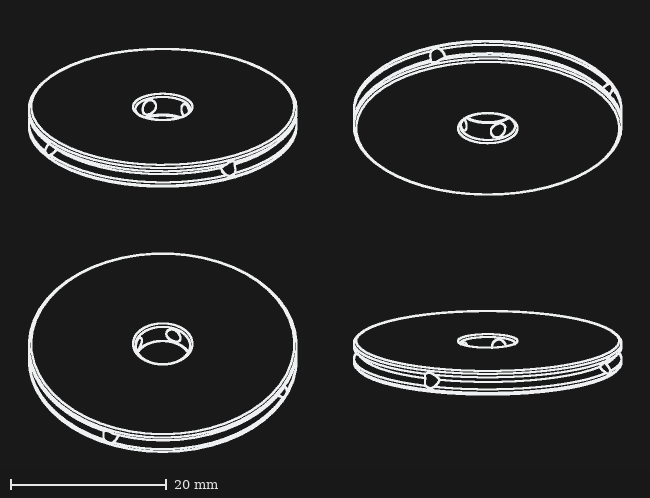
import cadquery as cq

wheel_diameter = 34.38
thickness = 3.13
bore_diameter = 7.0
cross_hole_diameter = 2.0
edge_chamfer = 0.3
groove_width = 1.58
groove_depth = 0.8

wheel_radius = wheel_diameter / 2
bore_radius = bore_diameter / 2
half_thickness = thickness / 2
half_groove = groove_width / 2

seam_angle = 45


def make_wheel():
    """Bored disc with chamfered rims and a V groove, revolved about Z from its half section."""
    section = cq.Workplane("XZ").polyline([
        (bore_radius, half_thickness - edge_chamfer),
        (bore_radius + edge_chamfer, half_thickness),
        (wheel_radius - edge_chamfer, half_thickness),
        (wheel_radius, half_thickness - edge_chamfer),
        (wheel_radius, half_groove),
        (wheel_radius - groove_depth, 0),
        (wheel_radius, -half_groove),
        (wheel_radius, edge_chamfer - half_thickness),
        (wheel_radius - edge_chamfer, -half_thickness),
        (bore_radius + edge_chamfer, -half_thickness),
        (bore_radius, edge_chamfer - half_thickness),
    ]).close()
    wheel = section.revolve(360, (0, 0, 0), (0, 1, 0))
    return wheel.rotate((0, 0, 0), (0, 0, 1), seam_angle)


def make_cross_hole(angle):
    """Hole right across the wheel through its centre, turned by angle from the X axis."""
    hole = cq.Workplane("XY").circle(cross_hole_diameter / 2).extrude(wheel_diameter, both=True)
    hole = hole.rotate((0, 0, 0), (0, 1, 0), 90)
    return hole.rotate((0, 0, 0), (0, 0, 1), angle)


result = make_wheel()

for angle in (0, 90):
    result = result.cut(make_cross_hole(angle))